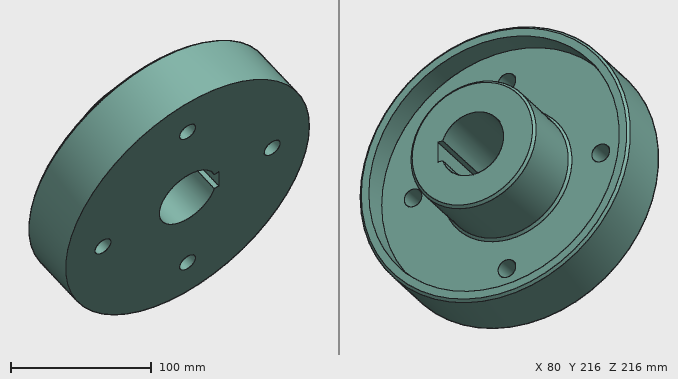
import cadquery as cq

rim_diameter = 216.0
rim_width = 46.0
total_length = 80.0
recess_diameter = 200.0
recess_depth = 20.0
hub_diameter = 100.0
hub_root_chamfer = 2.0
edge_chamfer = 2.0
bore_diameter = 50.0
keyway_width = 16.0
keyway_reach = 27.6
bolt_hole_diameter = 14.0
bolt_circle_diameter = 150.0
bolt_hole_count = 4

rim_face_x = total_length - rim_width
web_face_x = rim_face_x + recess_depth


def cylinder(start_x, end_x, diameter):
    """Solid cylinder along the X axis."""
    return (
        cq.Workplane("YZ")
        .workplane(offset=start_x)
        .circle(diameter / 2)
        .extrude(end_x - start_x)
    )


rim = cylinder(rim_face_x, total_length, rim_diameter).faces("<X").edges().chamfer(edge_chamfer)
wheel = rim.cut(cylinder(rim_face_x, web_face_x, recess_diameter))

hub = cylinder(0, total_length, hub_diameter).faces("<X").edges().chamfer(edge_chamfer)
root_reach = (hub_diameter + recess_diameter) / 4
hub_root = cq.selectors.BoxSelector(
    (web_face_x - hub_root_chamfer, -root_reach, -root_reach),
    (web_face_x + hub_root_chamfer, root_reach, root_reach),
    boundingbox=True,
)
wheel = wheel.union(hub)
wheel = wheel.edges(hub_root).chamfer(hub_root_chamfer)

bore = cylinder(0, total_length, bore_diameter)
keyway = cq.Workplane("XY").box(
    total_length, keyway_reach, keyway_width, centered=(False, False, True)
)
wheel = wheel.cut(bore).cut(keyway)

bolt_holes = (
    cq.Workplane("YZ")
    .polarArray(bolt_circle_diameter / 2, 0, 360, bolt_hole_count)
    .circle(bolt_hole_diameter / 2)
    .extrude(total_length)
)
result = wheel.cut(bolt_holes)